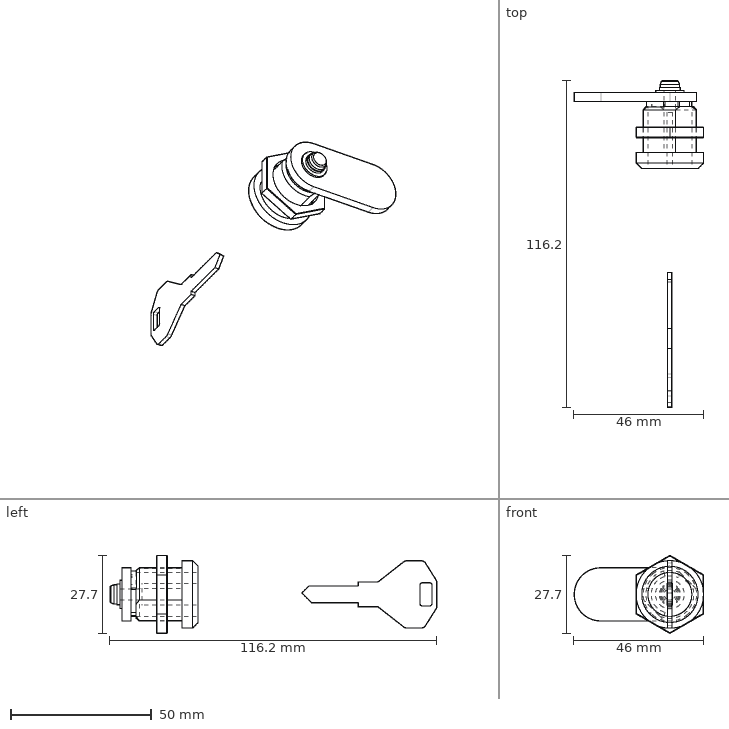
import cadquery as cq
import math


head_radius = 12.0
head_length = 5.8
head_chamfer = 2.0
barrel_radius = 9.5
barrel_end = 22.1
barrel_chamfer_length = 1.2
barrel_chamfer_depth = 1.0
flat_angle = 45.0
barrel_flat_distance = 8.0
stop_radius = 8.6
stop_start_angle = 105.0
stop_end_angle = 165.0
stop_root = barrel_end - barrel_chamfer_length

plug_radius = 7.8
plug_core_radius = 6.6
lug_flat_distance = 7.4
relief_start_angle = 64.0
relief_end_angle = 255.0
keyway_width = 2.0
keyway_height = 7.6
keyway_depth = 20.0

nut_across_flats = 24.0
nut_corner_radius = nut_across_flats / math.sqrt(3)
nut_start = 11.0
nut_thickness = 3.8
nut_edge_chamfer = 0.2
nut_turn = 30.0

cam_start = 23.8
cam_thickness = 3.3
cam_end_radius = 9.5
cam_reach = 24.5
cam_end = cam_start + cam_thickness

washer_radius = 5.1
washer_thickness = 0.75
washer_end = cam_end + washer_thickness
collar_radius = 3.75
collar_length = 1.0
collar_end = washer_end + collar_length
screw_head_radius = 3.5
screw_rim_length = 1.0
screw_rim_end = collar_end + screw_rim_length
screw_end = 31.4
screw_taper_radius = 3.1
screw_tip_chamfer = 0.5
screw_taper_end = screw_end - screw_tip_chamfer
shank_radius = 2.0
shank_depth = 3.0

key_thickness = 1.6
key_offset_x = -0.1
key_length = 48.0
overall_depth = 116.17
key_tip = screw_end - overall_depth + key_length
blade_half_height = 3.0
key_tip_offset = 0.5
blade_length = 20.0
neck_half_height = 4.4
neck_end = 27.0
bow_half_height = 12.0
bow_start = 36.7
bow_end = 43.4
bow_end_half_height = 4.7
bow_corner_radius = 2.0
key_hole_start = 42.0
key_hole_length = 4.2
key_hole_height = 8.1
key_hole_corner = 0.7


def revolve_about_lock_axis(profile):
    """Revolve a closed (radius, y) outline about the Y axis."""
    return profile.close().revolve(360, (0, 0, 0), (0, 1, 0))


def xz_plane(depth):
    """Sketch plane square to the lock axis, with X right and Z up."""
    return cq.Workplane("XZ", origin=(0, depth, 0))


def disc(radius, start, end):
    """Round disc on the lock axis between two depths."""
    return xz_plane(start).circle(radius).extrude(-(end - start))


def polar(radius, angle):
    """Point at a radius and an angle from +X toward +Z."""
    return (radius * math.cos(math.radians(angle)), radius * math.sin(math.radians(angle)))


def ring_sector(inner, outer, start_angle, end_angle, start, end):
    """Part of a ring about the lock axis, with radial sides."""
    middle_angle = (start_angle + end_angle) / 2
    return (
        xz_plane(start)
        .moveTo(*polar(inner, start_angle))
        .lineTo(*polar(outer, start_angle))
        .threePointArc(polar(outer, middle_angle), polar(outer, end_angle))
        .lineTo(*polar(inner, end_angle))
        .threePointArc(polar(inner, middle_angle), polar(inner, start_angle))
        .close()
        .extrude(-(end - start))
    )


def diagonal_flat_cutter(distance, angle, start, end):
    """Block that leaves a flat at the given distance from the lock axis."""
    size = 2 * head_radius
    block = cq.Workplane("XY").box(size, end - start, size, centered=(False, False, True))
    return block.translate((distance, start, 0)).rotate((0, 0, 0), (0, 1, 0), -angle)


def make_housing():
    """Headed barrel with two opposite diagonal flats and a stop at its rear end."""
    body = revolve_about_lock_axis(
        cq.Workplane("XY")
        .lineTo(head_radius - head_chamfer, 0)
        .lineTo(head_radius, head_chamfer)
        .lineTo(head_radius, head_length)
        .lineTo(barrel_radius, head_length)
        .lineTo(barrel_radius, barrel_end - barrel_chamfer_length)
        .lineTo(barrel_radius - barrel_chamfer_depth, barrel_end)
        .lineTo(0, barrel_end)
    )
    for angle in (flat_angle, flat_angle + 180):
        body = body.cut(diagonal_flat_cutter(barrel_flat_distance, angle, head_length, barrel_end))
    body = body.cut(disc(plug_radius, 0, barrel_end))
    stop_base = ring_sector(
        plug_radius, stop_radius, stop_start_angle, stop_end_angle, stop_root, barrel_end
    )
    stop = ring_sector(
        plug_core_radius, stop_radius, stop_start_angle, stop_end_angle, barrel_end, cam_start
    )
    return body.union(stop_base).union(stop)


def make_plug():
    """Cylinder with the keyway in front and a flatted stop lug behind."""
    plug = disc(plug_radius, 0, cam_start)
    relief = ring_sector(
        plug_core_radius, head_radius, relief_start_angle, relief_end_angle, barrel_end, cam_start
    )
    keyway = cq.Workplane("XY").box(
        keyway_width, keyway_depth, keyway_height, centered=(True, False, True)
    )
    lug_flat = diagonal_flat_cutter(lug_flat_distance, flat_angle, barrel_end, cam_start)
    return plug.cut(relief).cut(lug_flat).cut(keyway).cut(make_screw())


def make_nut():
    """Hexagonal nut with a light chamfer around both faces."""
    hexagon = (
        xz_plane(nut_start)
        .polygon(6, 2 * nut_corner_radius)
        .extrude(-nut_thickness)
        .faces("<Y or >Y")
        .chamfer(nut_edge_chamfer)
        .rotate((0, 0, 0), (0, 1, 0), nut_turn)
    )
    return hexagon.cut(disc(barrel_radius, nut_start, nut_start + nut_thickness))


def make_cam():
    """Flat arm with round ends, reaching sideways from the lock axis."""
    arm = (
        xz_plane(cam_start)
        .center(-cam_reach / 2, 0)
        .slot2D(cam_reach + 2 * cam_end_radius, 2 * cam_end_radius)
        .extrude(-cam_thickness)
    )
    return arm.cut(disc(shank_radius, cam_start, cam_end))


def make_washer():
    return disc(washer_radius, cam_end, washer_end).cut(disc(shank_radius, cam_end, washer_end))


def make_screw():
    """Tapered screw whose shank passes the washer and the cam into the plug."""
    head = revolve_about_lock_axis(
        cq.Workplane("XY")
        .moveTo(0, washer_end)
        .lineTo(collar_radius, washer_end)
        .lineTo(collar_radius, collar_end)
        .lineTo(screw_head_radius, collar_end)
        .lineTo(screw_head_radius, screw_rim_end)
        .lineTo(screw_taper_radius, screw_taper_end)
        .lineTo(screw_taper_radius - screw_tip_chamfer, screw_end)
        .lineTo(0, screw_end)
    )
    return head.union(disc(shank_radius, cam_start - shank_depth, washer_end))


def make_key():
    """Flat key lying in front of the lock, its tip toward the keyway."""
    top_shoulder = blade_half_height - key_tip_offset
    bottom_shoulder = blade_half_height + key_tip_offset
    blank = (
        cq.Workplane("XY")
        .moveTo(0, key_tip_offset)
        .lineTo(top_shoulder, blade_half_height)
        .lineTo(blade_length, blade_half_height)
        .lineTo(blade_length, neck_half_height)
        .lineTo(neck_end, neck_half_height)
        .lineTo(bow_start, bow_half_height)
        .lineTo(bow_end, bow_half_height)
        .lineTo(key_length, bow_end_half_height)
        .lineTo(key_length, -bow_end_half_height)
        .lineTo(bow_end, -bow_half_height)
        .lineTo(bow_start, -bow_half_height)
        .lineTo(neck_end, -neck_half_height)
        .lineTo(blade_length, -neck_half_height)
        .lineTo(blade_length, -blade_half_height)
        .lineTo(bottom_shoulder, -blade_half_height)
        .close()
        .extrude(key_thickness)
    )
    for side in (1, -1):
        corners = (
            (bow_start, bow_half_height),
            (bow_end, bow_half_height),
            (key_length, bow_end_half_height),
        )
        for distance, height in corners:
            corner = (distance, side * height, key_thickness / 2)
            blank = blank.edges(cq.NearestToPointSelector(corner)).fillet(bow_corner_radius)
    hole = (
        cq.Workplane("XY")
        .center(key_hole_start + key_hole_length / 2, 0)
        .rect(key_hole_length, key_hole_height)
        .extrude(key_thickness)
        .edges("|Z")
        .fillet(key_hole_corner)
    )
    return (
        blank.cut(hole)
        .translate((0, 0, -key_thickness / 2))
        .rotate((0, 0, 0), (1, 0, 0), 90)
        .rotate((0, 0, 0), (0, 0, 1), -90)
        .translate((key_offset_x, key_tip, 0))
    )


housing = make_housing()
plug = make_plug()
nut = make_nut()
cam = make_cam()
washer = make_washer()
screw = make_screw()
key = make_key()

result = cq.Compound.makeCompound(
    [body.val() for body in (housing, plug, nut, cam, washer, screw, key)]
)